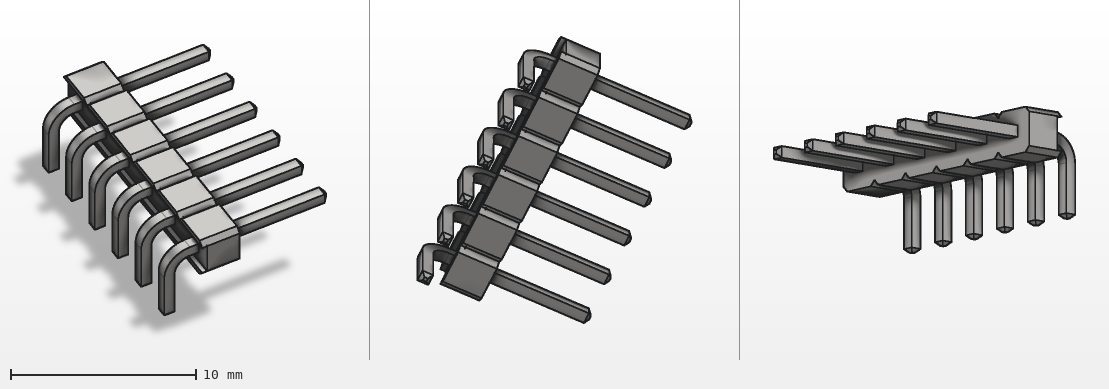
import cadquery as cq


row_length = 15.24
pin_count = 6
pitch = row_length / pin_count

housing_height = 2.5
housing_depth = 2.32
edge_chamfer = 0.3
recess_depth = 0.3

pin_size = 0.64
tip_chamfer = 0.21
overall_depth = 10.13
overall_height = 5.52
back_reach = 6.0
bend_outer_radius = 1.58
bend_inner_radius = bend_outer_radius - pin_size

half_pin = pin_size / 2
pin_back_y = back_reach
pin_front_y = back_reach - overall_depth
pin_bottom_z = housing_height / 2 - overall_height


def make_housing_cell():
    """One block with its four lengthwise edges chamfered, centred on the pin axis."""
    return (
        cq.Workplane("XY")
        .box(pitch, housing_depth, housing_height)
        .edges("|Y")
        .chamfer(edge_chamfer)
        .translate((0, -housing_depth / 2, 0))
    )


def make_front_recess():
    """Channel along the whole front, leaving a lip above and below it."""
    recess_height = housing_height - 2 * edge_chamfer
    return (
        cq.Workplane("XY")
        .box(row_length, recess_depth, recess_height)
        .translate((0, recess_depth / 2 - housing_depth, 0))
    )


def make_pin():
    """Square pin bent down at the front, with both tips chamfered."""
    bend_y = pin_front_y + bend_outer_radius
    bend_z = half_pin - bend_outer_radius
    return (
        cq.Workplane("YZ")
        .moveTo(pin_back_y, half_pin)
        .lineTo(bend_y, half_pin)
        .radiusArc((pin_front_y, bend_z), -bend_outer_radius)
        .lineTo(pin_front_y, pin_bottom_z)
        .lineTo(pin_front_y + pin_size, pin_bottom_z)
        .lineTo(pin_front_y + pin_size, bend_z)
        .radiusArc((bend_y, -half_pin), bend_inner_radius)
        .lineTo(pin_back_y, -half_pin)
        .close()
        .extrude(half_pin, both=True)
        .faces(">Y or <Z")
        .chamfer(tip_chamfer)
    )


cell_positions = [((i - (pin_count - 1) / 2) * pitch, 0, 0) for i in range(pin_count)]
cell = make_housing_cell()
pin = make_pin()

housing = cell.translate(cell_positions[0])
for position in cell_positions[1:]:
    housing = housing.union(cell.translate(position))

result = housing.cut(make_front_recess())
for position in cell_positions:
    result = result.union(pin.translate(position))